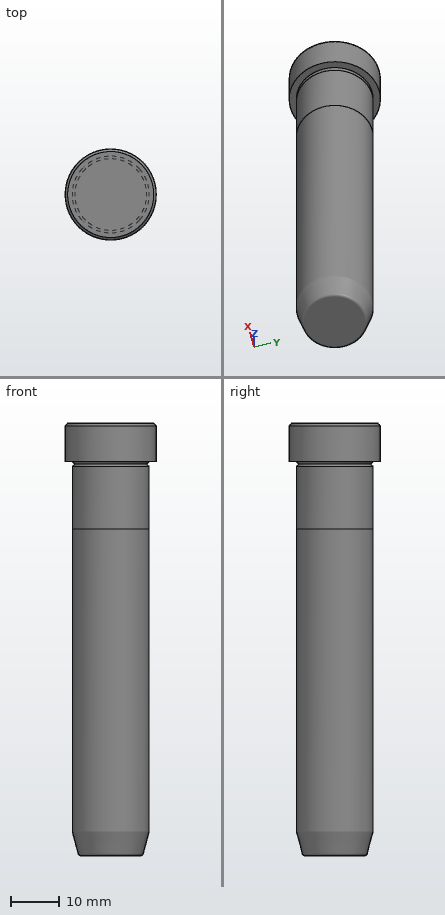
import cadquery as cq
import math

total_length = 90.0
head_diameter = 19.0
head_height = 8.0
head_chamfer = 0.5
shank_diameter = 16.0

upper_body_length = 22.0

groove_width = 1.0
groove_depth = 0.5

taper_length = 5.0
taper_angle = 15.0
tip_fillet = 0.5

head_radius = head_diameter / 2
shank_radius = shank_diameter / 2
head_bottom = total_length - head_height
split_height = total_length - upper_body_length
tip_radius = shank_radius - taper_length * math.tan(math.radians(taper_angle))


def make_headed_body():
    """Head, relief groove and upper stretch of the shank."""
    profile = [
        (0, split_height),
        (shank_radius, split_height),
        (shank_radius, head_bottom - groove_width),
        (shank_radius - groove_depth, head_bottom - groove_width / 2),
        (shank_radius, head_bottom),
        (head_radius, head_bottom),
        (head_radius, total_length - head_chamfer),
        (head_radius - head_chamfer, total_length),
        (0, total_length),
    ]
    return cq.Workplane("XZ").polyline(profile).close().revolve(360, (0, 0, 0), (0, 1, 0))


def make_guide_body():
    """Lower shank with a tapered end and a rounded tip edge."""
    profile = [
        (0, 0),
        (tip_radius, 0),
        (shank_radius, taper_length),
        (shank_radius, split_height),
        (0, split_height),
    ]
    body = cq.Workplane("XZ").polyline(profile).close().revolve(360, (0, 0, 0), (0, 1, 0))
    return body.faces("<Z").edges().fillet(tip_fillet)


headed_body = make_headed_body()
guide_body = make_guide_body()

result = cq.Compound.makeCompound([headed_body.val(), guide_body.val()])